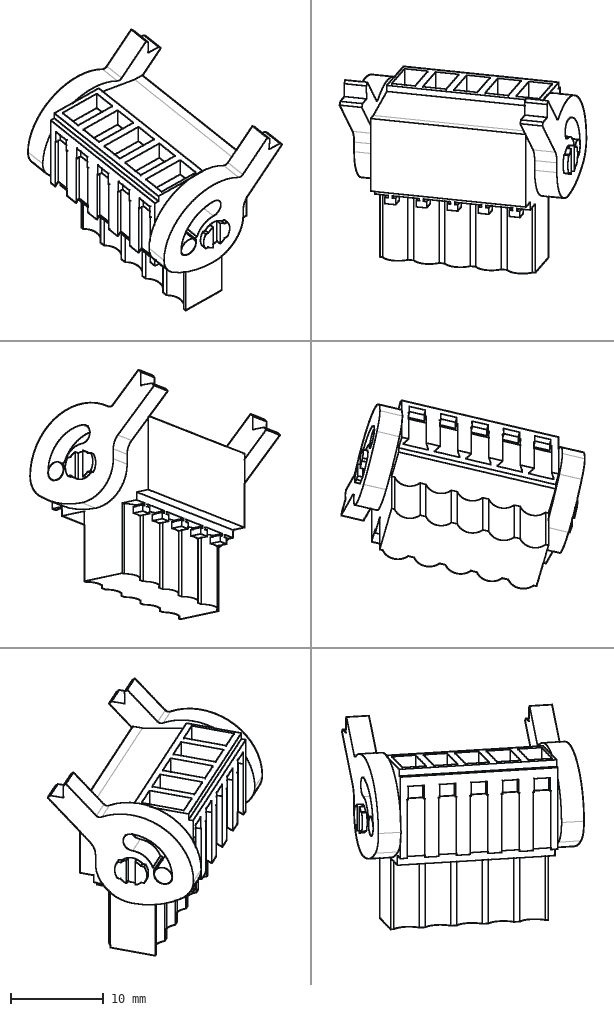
import cadquery as cq
import math


pole_count = 5
housing_width = 17.5
pole_pitch = housing_width / pole_count
pole_positions = [(i - (pole_count - 1) / 2) * pole_pitch for i in range(pole_count)]

top_z = 6.67
front_y = -6.0
front_ledge_y = -5.5
front_ledge_z = 5.93
front_wall_bottom_z = -3.15
band_front_y = -4.68
base_z = -4.2
back_y = 6.9
back_bottom_z = -3.32
band_back_y = 5.35
slope_top_y = 0.76
slope_bottom_y = 5.83
slope_step = 0.7
slope_drop = 0.95

column_front_y = -1.67
column_back_y = 3.42
column_bottom_z = -12.12
scallop_radius = 1.8
scallop_width = 2.85
scallop_half_width = scallop_width / 2
scallop_rise = scallop_radius - math.sqrt(scallop_radius**2 - scallop_half_width**2)

window_width = 1.8
window_depth = 0.6
window_top_z = 4.85
window_bottom_z = 3.35
dovetail_mouth = 1.95
dovetail_depth = 0.76
dovetail_angle = 29

tab_width = 1.2
tab_neck_width = 0.48
tab_head_top_z = -4.47
tab_bottom_z = -5.19

pocket_length_x = 2.63
pocket_front_y = -4.78
pocket_back_y = 0.05
pocket_offset_x = 0.1
pocket_depth = 2.08
button_height = 4.78

lever_thickness = 2.5
lever_outer_x = 11.42
lever_inner_x = lever_outer_x - lever_thickness
cam_radius = 6.98
hub_radius = 4.2
belly_radius = 10.0
nose_radius = 3.0
handle_angle = math.radians(44)
handle_length = 12.0
handle_half_width = 1.5
notch_depth = 1.05
handle_top_fillet = 0.5
handle_bottom_fillet = 2.0

shaft_radius = 1.55
pivot_end_x = 11.95
barb_radius = 1.85
barb_height = 2.08
split_width = 0.98
guide_orbit = 3.51
guide_pin_radius = 2.03 / 2
guide_pin_end_x = lever_outer_x
guide_slot_width = 2.1
detent_radius = 0.2
detent_orbit = 2.44
detent_angle = math.radians(14.5)


def box(x_range, y_range, z_range):
    """Axis-aligned box between the given limits."""
    (x0, x1), (y0, y1), (z0, z1) = x_range, y_range, z_range
    return cq.Workplane("XY").box(x1 - x0, y1 - y0, z1 - z0, centered=False).translate((x0, y0, z0))


def rod(radius, y, z, x_start, x_end):
    """Cylinder along X."""
    return cq.Workplane("YZ", origin=(x_start, y, z)).circle(radius).extrude(x_end - x_start)


def centred(middle, width):
    """Limits of a span of the given width about its middle."""
    return (middle - width / 2, middle + width / 2)


def polar(radius, angle):
    """(Y, Z) point about the pivot; the angle rises from the front (-Y) toward +Z."""
    return (-radius * math.cos(angle), radius * math.sin(angle))


def housing_block():
    slope_start_z = top_z - slope_step
    slope_bottom_z = slope_start_z - slope_drop
    section = [
        (front_ledge_y, top_z),
        (front_ledge_y, front_ledge_z),
        (front_y, front_ledge_z),
        (front_y, front_wall_bottom_z),
        (band_front_y, front_wall_bottom_z),
        (band_front_y, base_z),
        (band_back_y, base_z),
        (band_back_y, back_bottom_z),
        (back_y, back_bottom_z),
        (back_y, slope_bottom_z),
        (slope_bottom_y, slope_bottom_z),
        (slope_top_y, slope_start_z),
        (slope_top_y, top_z),
    ]
    return cq.Workplane("YZ").polyline(section).close().extrude(housing_width / 2, both=True)


def scalloped_column():
    """Column with a round groove per pole in front and a matching round rib behind."""
    half = housing_width / 2
    outline = cq.Workplane("XY", origin=(0, 0, column_bottom_z)).moveTo(-half, column_front_y)
    for x in pole_positions:
        outline = outline.lineTo(x - scallop_half_width, column_front_y).threePointArc(
            (x, column_front_y + scallop_rise), (x + scallop_half_width, column_front_y)
        )
    outline = outline.lineTo(half, column_front_y).lineTo(half, column_back_y)
    for x in reversed(pole_positions):
        outline = outline.lineTo(x + scallop_half_width, column_back_y).threePointArc(
            (x, column_back_y + scallop_rise), (x - scallop_half_width, column_back_y)
        )
    return outline.lineTo(-half, column_back_y).close().extrude(base_z - column_bottom_z)


def coding_tab(x):
    """Tab of inverted-T shape hanging from the base behind the column."""
    depth = (column_back_y, band_back_y)
    neck = box(centred(x, tab_neck_width), depth, (tab_head_top_z, base_z))
    head = box(centred(x, tab_width), depth, (tab_bottom_z, tab_head_top_z))
    return neck.union(head)


def front_slot(x):
    window = box(
        centred(x, window_width),
        (front_y, front_y + window_depth),
        (window_bottom_z, window_top_z),
    )
    half_mouth = dovetail_mouth / 2
    half_floor = half_mouth + dovetail_depth * math.tan(math.radians(dovetail_angle))
    groove = (
        cq.Workplane("XY", origin=(x, front_y, front_wall_bottom_z))
        .polyline([
            (-half_mouth, 0),
            (half_mouth, 0),
            (half_floor, dovetail_depth),
            (-half_floor, dovetail_depth),
        ])
        .close()
        .extrude(window_bottom_z - front_wall_bottom_z)
    )
    return window.union(groove)


def pocket_block(x, bottom_z, height):
    """Block with the plan of a top pocket."""
    return box(
        centred(x + pocket_offset_x, pocket_length_x),
        (pocket_front_y, pocket_back_y),
        (bottom_z, bottom_z + height),
    )


def pivot():
    """Shaft with a barbed, split head that holds the lever on the +X end."""
    shaft = rod(shaft_radius, 0, 0, housing_width / 2, pivot_end_x)
    head_space = (lever_outer_x, pivot_end_x)
    barb = rod(barb_radius, 0, 0, *head_space).intersect(
        box(head_space, centred(0, 2 * barb_radius), centred(0, barb_height))
    )
    split = box(
        head_space,
        centred(0, split_width),
        centred(0, 2 * barb_radius),
    )
    return shaft.union(barb).cut(split)


def make_housing():
    body = housing_block().union(scalloped_column())
    button_bottom_z = top_z - pocket_depth - button_height
    for x in pole_positions:
        body = body.union(coding_tab(x))
        body = body.cut(front_slot(x))
        body = body.cut(pocket_block(x, button_bottom_z, button_height + pocket_depth))
    guide_pin = rod(guide_pin_radius, -guide_orbit, 0, housing_width / 2, guide_pin_end_x)
    end_fittings = pivot().union(guide_pin)
    return body.union(end_fittings).union(end_fittings.mirror("YZ"))


def make_button(x):
    """Push button that fills the lower part of a pocket."""
    return pocket_block(x, top_z - pocket_depth - button_height, button_height)


def handle_point(along, across):
    """(Y, Z) point from distances along the handle and across it (up is positive)."""
    cos_a = math.cos(handle_angle)
    sin_a = math.sin(handle_angle)
    return (along * cos_a - across * sin_a, along * sin_a + across * cos_a)


def lever_blank():
    belly_centre_z = belly_radius - hub_radius
    nose_orbit = cam_radius - nose_radius
    nose_angle = math.asin(
        (nose_orbit**2 + belly_centre_z**2 - (belly_radius - nose_radius) ** 2)
        / (2 * nose_orbit * belly_centre_z)
    )
    nose_y, nose_z = polar(nose_orbit, nose_angle)
    belly_end_angle = math.atan2(belly_centre_z - nose_z, -nose_y)

    def belly_point(angle):
        return (-belly_radius * math.cos(angle), belly_centre_z - belly_radius * math.sin(angle))

    cam_mid_angle = math.radians(60)
    hub_mid_angle = math.radians(225)
    nose_mid_angle = (nose_angle - belly_end_angle) / 2
    nose_mid = (
        nose_y - nose_radius * math.cos(nose_mid_angle),
        nose_z + nose_radius * math.sin(nose_mid_angle),
    )
    handle_root = handle_point(math.sqrt(cam_radius**2 - handle_half_width**2), handle_half_width)
    hub_corner_z = (hub_radius * math.sin(handle_angle) - handle_half_width) / math.cos(handle_angle)
    hub_corner = (hub_radius, hub_corner_z)
    blank = (
        cq.Workplane("YZ", origin=(lever_inner_x, 0, 0))
        .moveTo(*handle_root)
        .threePointArc(polar(cam_radius, cam_mid_angle), polar(cam_radius, nose_angle))
        .threePointArc(nose_mid, belly_point(belly_end_angle))
        .threePointArc(belly_point((belly_end_angle + math.pi / 2) / 2), (0, -hub_radius))
        .threePointArc(polar(hub_radius, hub_mid_angle), (hub_radius, 0))
        .lineTo(*hub_corner)
        .lineTo(*handle_point(handle_length, -handle_half_width))
        .lineTo(*handle_point(handle_length, -notch_depth))
        .lineTo(*handle_point(handle_length - notch_depth, 0))
        .lineTo(*handle_point(handle_length, notch_depth))
        .lineTo(*handle_point(handle_length, handle_half_width))
        .close()
        .extrude(lever_thickness)
    )
    middle_x = lever_inner_x + lever_thickness / 2
    for corner, radius in ((handle_root, handle_top_fillet), (hub_corner, handle_bottom_fillet)):
        edge = cq.selectors.NearestToPointSelector((middle_x, *corner))
        blank = blank.edges("|X").edges(edge).fillet(radius)
    return blank


def guide_slot():
    """Quarter-turn slot about the pivot, with a small detent on its inner wall."""
    inner = guide_orbit - guide_slot_width / 2
    outer = guide_orbit + guide_slot_width / 2
    diagonal = math.radians(45)
    half_width = guide_slot_width / 2
    slot = (
        cq.Workplane("YZ", origin=(lever_inner_x, 0, 0))
        .moveTo(-outer, 0)
        .threePointArc(polar(outer, diagonal), (0, outer))
        .threePointArc((half_width, guide_orbit), (0, inner))
        .threePointArc(polar(inner, diagonal), (-inner, 0))
        .threePointArc((-guide_orbit, -half_width), (-outer, 0))
        .close()
        .extrude(lever_thickness)
    )
    detent = rod(detent_radius, *polar(detent_orbit, detent_angle), lever_inner_x, lever_outer_x)
    return slot.cut(detent)


def make_lever():
    """Lever on the +X end of the housing."""
    bore = rod(shaft_radius, 0, 0, lever_inner_x, lever_outer_x)
    return lever_blank().cut(bore).cut(guide_slot())


housing = make_housing()
buttons = [make_button(x) for x in pole_positions]
lever = make_lever()
levers = [lever, lever.mirror("YZ")]

bodies = [housing, *buttons, *levers]
result = cq.Compound.makeCompound([body.val() for body in bodies])